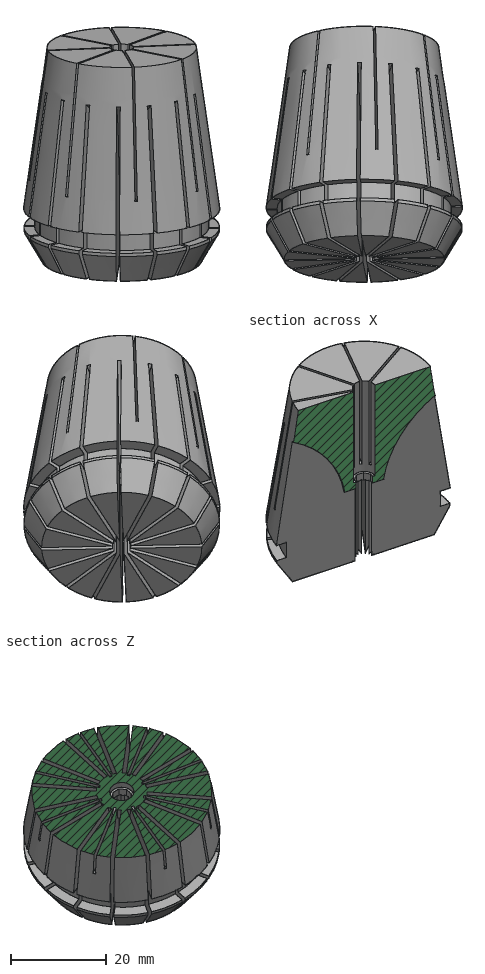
import cadquery as cq
import math

length = 46.0
max_diameter = 41.0
taper_angle = 8.0
taper_base_z = 11.15
groove_diameter = 36.35
groove_base_z = 7.1
rim_diameter = 40.8
rim_height = 0.7
nose_angle = 30.0

bore_sides = 8
bore_across_flats = 3.85
relief_diameter = 4.95
relief_floor_z = 21.6

nose_slot_count = 16
nose_slot_width = 0.8
nose_slot_hub_radius = 4.6
nose_slot_hub_z = 19.75
nose_slot_end_z = 37.75
nose_slot_arc_radius = 25.3
back_slot_count = 8
back_slot_width = 0.5
back_slot_hub_radius = 3.95
back_slot_hub_z = 23.9
back_slot_end_z = 18.05
back_slot_arc_radius = 16.9

clearance = 2.3

max_radius = max_diameter / 2
taper_slope = math.tan(math.radians(taper_angle))
outside_radius = max_radius + clearance


def taper_radius(z):
    """Radius of the long taper at height z."""
    return max_radius - (z - taper_base_z) * taper_slope


def make_body():
    rim_radius = rim_diameter / 2
    groove_radius = groove_diameter / 2
    nose_top_z = groove_base_z - rim_height
    nose_tip_radius = rim_radius - nose_top_z * math.tan(math.radians(nose_angle))
    return (
        cq.Workplane("XZ")
        .moveTo(0, 0)
        .lineTo(nose_tip_radius, 0)
        .lineTo(rim_radius, nose_top_z)
        .lineTo(rim_radius, groove_base_z)
        .lineTo(groove_radius, groove_base_z)
        .lineTo(groove_radius, taper_base_z)
        .lineTo(max_radius, taper_base_z)
        .lineTo(taper_radius(length), length)
        .lineTo(0, length)
        .close()
        .revolve(360, (0, 0, 0), (0, 1, 0))
    )


def cut_bore(body):
    bore = (
        cq.Workplane("XY")
        .polygon(bore_sides, bore_across_flats, circumscribed=True)
        .extrude(length)
    )
    relief = (
        cq.Workplane("XY", origin=(0, 0, relief_floor_z))
        .circle(relief_diameter / 2)
        .extrude(length - relief_floor_z)
    )
    return body.cut(bore).cut(relief)


def make_slot(width, axis_z, hub_radius, hub_z, end_z, arc_radius, open_z):
    """Radial slot along +X, open at height open_z.

    Its floor runs from the axis to the hub radius, then along an arc to the taper at end_z.
    A negative arc_radius bends the arc the other way.
    """
    return (
        cq.Workplane("XZ")
        .moveTo(0, open_z)
        .lineTo(0, axis_z)
        .lineTo(hub_radius, hub_z)
        .radiusArc((taper_radius(end_z), end_z), arc_radius)
        .lineTo(outside_radius, end_z)
        .lineTo(outside_radius, open_z)
        .close()
        .extrude(width / 2, both=True)
    )


def cut_slots(body, slot, count, first_angle):
    for index in range(count):
        angle = first_angle + index * 360 / count
        body = body.cut(slot.rotate((0, 0, 0), (0, 0, 1), angle))
    return body


nose_slot = make_slot(
    nose_slot_width,
    nose_slot_hub_z,
    nose_slot_hub_radius,
    nose_slot_hub_z,
    nose_slot_end_z,
    nose_slot_arc_radius,
    -clearance,
)
back_slot = make_slot(
    back_slot_width,
    back_slot_hub_z - back_slot_hub_radius * taper_slope,
    back_slot_hub_radius,
    back_slot_hub_z,
    back_slot_end_z,
    -back_slot_arc_radius,
    length + clearance,
)

back_slot_offset = -180 / nose_slot_count

result = cut_bore(make_body())
result = cut_slots(result, nose_slot, nose_slot_count, 0)
result = cut_slots(result, back_slot, back_slot_count, back_slot_offset)